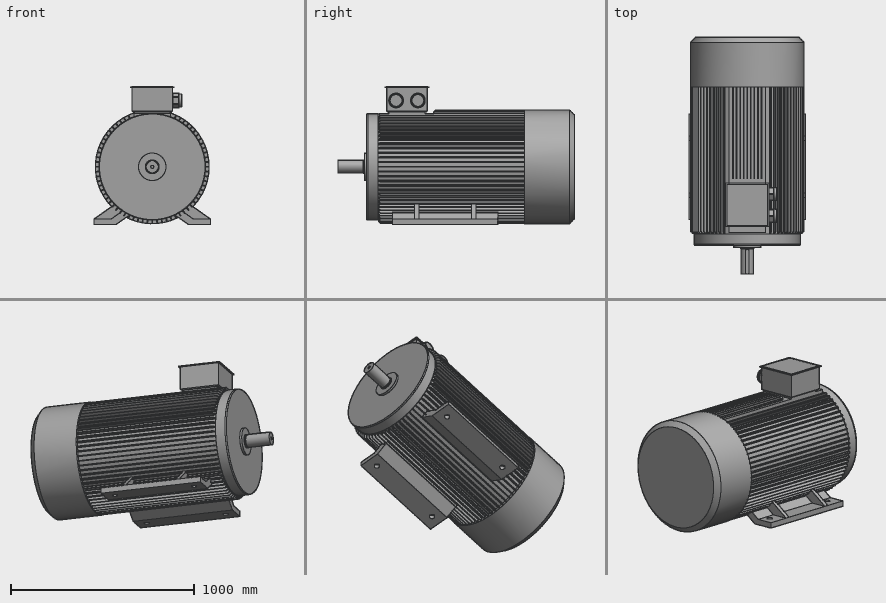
import cadquery as cq
import math


cover_radius = 620.0 / 2
cover_start = 862.0
cover_end = 1134.0
cover_chamfer = 28.0
core_radius = 575.0 / 2
shield_radius = 580.0 / 2
shield_length = 63.0
shield_chamfer_length = 8.0
shield_face_radius = 575.0 / 2

fin_radius = 308.0
fin_thickness = 4.0
fin_pitch_angle = 5
fin_gap = 3.0
fin_front = shield_length + fin_gap
fin_chamfer = 10.0
fin_embed = 13.0
fin_free_angle = 25

flat_half_width = 99.0
flat_top = 289.0
flat_gap = 6.0
flat_front = shield_length + flat_gap
flat_depth = 39.0
top_fin_count = 9
top_fin_pitch = 19.0
top_fin_front = 365.0

hub_radius = 150.0 / 2
hub_length = 12.0
collar_radius = 75.0 / 2
collar_length = 4.0
undercut_radius = 65.0 / 2
undercut_length = 4.0
shaft_radius = 70.0 / 2
shaft_end = cover_end - 1290
shaft_hole_diameter = 17.0
shaft_hole_depth = 39.0
key_width = 20.0
key_top = 36.0
key_back_gap = 6.0
key_front_gap = 1.0
key_corner_radius = 8.0

axis_height = 315.0
foot_half_span = 317.0
foot_center = 428.0
foot_length = 575.0
foot_thickness = 31.0
foot_slope = 35
foot_top_inner = 223.0
foot_bottom_inner = 197.0
foot_inner_x = 112.0
rib_thickness = 25.0
rib_offset = 155.0
foot_hole_diameter = 28.0
foot_hole_x = 254.0
foot_hole_offset = 228.0

box_center = 220.0
box_side = 222.0
pedestal_height = 10.0
box_bottom = flat_top + pedestal_height
box_bottom_chamfer = 5.0
lid_side = 237.0
lid_bottom = 431.0
lid_thickness = 4.0
lid_top = 436.0
pedestal_side = 2 * flat_half_width

gland_spacing = 119.0
gland_height = 361.0
nut_flats = 72.0
nut_diameter = 80.0
nut_length = 35.0
nut_rim = 3.0
ring_diameter = 72.0
ring_length = 17.0
ring_face_diameter = 65.0


def cylinder_y(radius, start, end):
    """Cylinder on the shaft axis between two Y positions."""
    return cq.Workplane("XZ", origin=(0, start, 0)).circle(radius).extrude(start - end)


def block(x_size, y_range, z_range):
    """Box centred on X = 0 between two Y and two Z positions."""
    size_y = y_range[1] - y_range[0]
    size_z = z_range[1] - z_range[0]
    base = cq.Workplane("XY", origin=(0, y_range[0], z_range[0]))
    return base.box(x_size, size_y, size_z, centered=(True, False, False))


def fin(front):
    """Upright plate above the axis, with its front upper corner cut off."""
    root = core_radius - fin_embed
    outline = [
        (front, root),
        (front, fin_radius - fin_chamfer),
        (front + fin_chamfer, fin_radius),
        (cover_start, fin_radius),
        (cover_start, root),
    ]
    return cq.Workplane("YZ").polyline(outline).close().extrude(fin_thickness / 2, both=True)


def housing():
    """Core, end shield and fan cover turned around the shaft axis."""
    profile = [
        (0, 0),
        (shield_face_radius, 0),
        (shield_radius, shield_chamfer_length),
        (shield_radius, shield_length),
        (core_radius, shield_length),
        (core_radius, cover_start),
        (cover_radius, cover_start),
        (cover_radius, cover_end - cover_chamfer),
        (cover_radius - cover_chamfer, cover_end),
        (0, cover_end),
    ]
    return cq.Workplane("XY").polyline(profile).close().revolve(360, (0, 0, 0), (0, 1, 0))


def radial_fins():
    """Radial fins all round, except for the sector below the terminal box."""
    single = fin(fin_front).val()
    angles = range(fin_free_angle, 360 - fin_free_angle + 1, fin_pitch_angle)
    fins = [single.rotate((0, 0, 0), (0, 1, 0), angle) for angle in angles]
    return cq.Workplane(cq.Compound.makeCompound(fins))


def flat():
    """Raised flat along the top of the housing."""
    return block(2 * flat_half_width, (flat_front, cover_start), (flat_top - flat_depth, flat_top))


def top_fins():
    """Upright fins on the flat, trimmed to the outer radius of the radial fins."""
    single = fin(top_fin_front).val()
    middle = (top_fin_count - 1) / 2
    shifts = [(i - middle) * top_fin_pitch for i in range(top_fin_count)]
    fins = cq.Workplane(cq.Compound.makeCompound([single.translate((x, 0, 0)) for x in shifts]))
    return fins.intersect(cylinder_y(fin_radius, 0, cover_start))


def drive_end():
    """Hub disc, collar, undercut, shaft and key."""
    collar_front = -hub_length - collar_length
    hub = cylinder_y(hub_radius, -hub_length, 0)
    collar = cylinder_y(collar_radius, collar_front, 0)
    neck = cylinder_y(undercut_radius, shaft_end, 0)
    shaft = neck.union(cylinder_y(shaft_radius, shaft_end, collar_front - undercut_length))
    key_range = (shaft_end + key_front_gap, collar_front - key_back_gap)
    key = block(key_width, key_range, (0, key_top))
    key = key.edges("|Z").fillet(key_corner_radius)
    shaft = shaft.union(key)
    shaft = shaft.cut(cylinder_y(shaft_hole_diameter / 2, shaft_end, shaft_end + shaft_hole_depth))
    return hub.union(collar).union(shaft)


def foot():
    """Foot on the +X side: bent plate, two ribs and two bolt holes."""
    bottom = -axis_height
    top = bottom + foot_thickness
    slope = math.tan(math.radians(foot_slope))

    def rise(start, end):
        return (start - end) * slope

    plate_outline = [
        (foot_half_span, bottom),
        (foot_half_span, top),
        (foot_top_inner, top),
        (foot_inner_x, top + rise(foot_top_inner, foot_inner_x)),
        (foot_inner_x, bottom + rise(foot_bottom_inner, foot_inner_x)),
        (foot_bottom_inner, bottom),
    ]
    rib_outline = [
        (foot_half_span, top),
        (foot_inner_x, top + rise(foot_half_span, foot_inner_x)),
        (foot_inner_x, top + rise(foot_top_inner, foot_inner_x)),
        (foot_top_inner, top),
    ]

    def slab(outline, center, length):
        plane = cq.Workplane("XZ", origin=(0, center, 0))
        return plane.polyline(outline).close().extrude(length / 2, both=True)

    body = slab(plate_outline, foot_center, foot_length)
    for side in (-1, 1):
        body = body.union(slab(rib_outline, foot_center + side * rib_offset, rib_thickness))
    spots = [(foot_hole_x, foot_center + side * foot_hole_offset) for side in (-1, 1)]
    holes = cq.Workplane("XY", origin=(0, 0, bottom)).pushPoints(spots)
    return body.cut(holes.circle(foot_hole_diameter / 2).extrude(foot_thickness))


def square_block(side, bottom, top):
    """Square block of the terminal box stack."""
    return block(side, (box_center - side / 2, box_center + side / 2), (bottom, top))


def terminal_box():
    """Pedestal, box and stepped lid."""
    pedestal = square_block(pedestal_side, flat_top - flat_depth, box_bottom)
    body = square_block(box_side, box_bottom, lid_top).faces("<Z").edges().chamfer(box_bottom_chamfer)
    lid = square_block(lid_side, lid_bottom, lid_bottom + lid_thickness)
    return pedestal.union(body).union(lid)


def gland(y):
    """Cable gland: hexagon nut cut between two round rims, and a chamfered ring."""
    wall = cq.Workplane("YZ", origin=(box_side / 2, y, gland_height))
    hexagon_diameter = nut_flats / math.cos(math.pi / 6)
    hexagon = wall.transformed(rotate=(0, 0, 90)).polygon(6, hexagon_diameter).extrude(nut_length)
    nut = hexagon.intersect(wall.circle(nut_diameter / 2).extrude(nut_length))
    rim = wall.circle(nut_diameter / 2).extrude(nut_rim)
    nut = nut.union(rim).union(rim.translate((nut_length - nut_rim, 0, 0)))
    ring = wall.circle(ring_diameter / 2).extrude(nut_length + ring_length)
    ring = ring.faces(">X").edges().chamfer((ring_diameter - ring_face_diameter) / 2)
    return nut.union(ring)


right_foot = foot()
result = housing().union(right_foot).union(right_foot.mirror("YZ"))
result = result.union(flat()).union(radial_fins()).union(top_fins())
result = result.union(terminal_box()).union(drive_end())
for gland_side in (-1, 1):
    result = result.union(gland(box_center + gland_side * gland_spacing / 2))